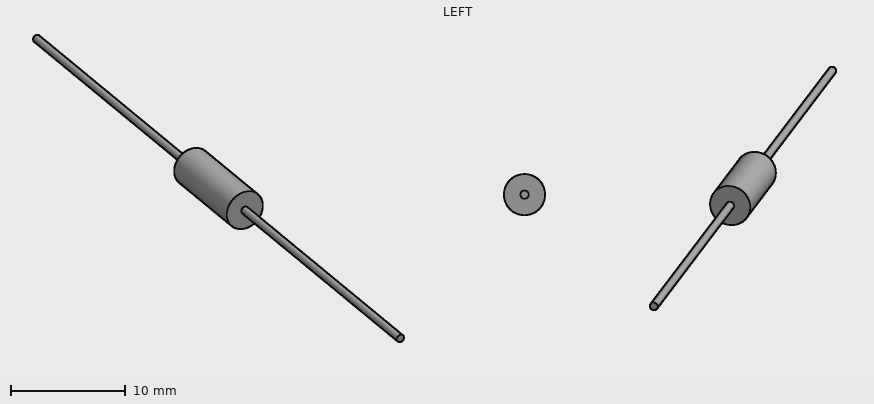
import cadquery as cq

overall_length = 65.5
body_length = 9.5
body_diameter = 3.6
lead_diameter = 0.7

lead_length = (overall_length - body_length) / 2


def cylinder_along_x(start_x, length, diameter):
    """Solid cylinder on the X axis, growing from start_x toward +X."""
    return cq.Workplane("YZ", origin=(start_x, 0, 0)).circle(diameter / 2).extrude(length)


def make_body():
    """Plain cylindrical body, centred on the origin."""
    return cylinder_along_x(-body_length / 2, body_length, body_diameter)


def make_lead(start_x):
    """Straight wire lead that butts against one end face of the body."""
    return cylinder_along_x(start_x, lead_length, lead_diameter)


body = make_body()
lead_starts = [-overall_length / 2, body_length / 2]
leads = [make_lead(start_x) for start_x in lead_starts]

result = cq.Compound.makeCompound([body.val(), *[lead.val() for lead in leads]])